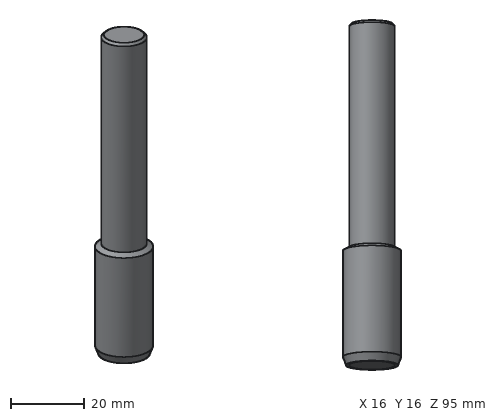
import cadquery as cq

total_length = 95.0
sleeve_diameter = 16.0
pin_diameter = 12.5
sleeve_length = 32.8

shoulder_height = 0.95
lead_in_height = 2.3
lead_in_width = 0.9
pin_chamfer = 0.8

sleeve_radius = sleeve_diameter / 2
pin_radius = pin_diameter / 2


def make_sleeve():
    """Revolve the sleeve wall, leaving a through bore that fits the pin."""
    wall_profile = [
        (pin_radius, 0),
        (sleeve_radius - lead_in_width, 0),
        (sleeve_radius, lead_in_height),
        (sleeve_radius, sleeve_length - shoulder_height),
        (pin_radius, sleeve_length),
    ]
    return cq.Workplane("XZ").polyline(wall_profile).close().revolve(360, (0, 0), (0, 1))


def make_pin():
    """Straight pin that fills the sleeve bore and has a chamfered top."""
    pin = cq.Workplane("XY").circle(pin_radius).extrude(total_length)
    return pin.faces(">Z").chamfer(pin_chamfer)


sleeve = make_sleeve()
pin = make_pin()

result = cq.Compound.makeCompound([sleeve.val(), pin.val()])